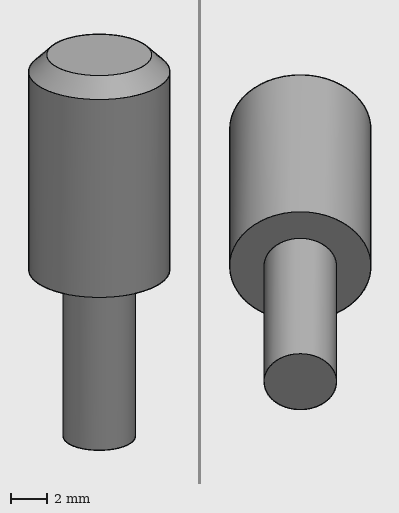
import cadquery as cq

total_length = 22.9
head_diameter = 7.8
shank_diameter = 4.0
shank_length = 10.0
head_chamfer = 1.0

head_length = total_length - shank_length

shank = cq.Workplane("XY").circle(shank_diameter / 2).extrude(shank_length)

head = (
    cq.Workplane("XY")
    .workplane(offset=shank_length)
    .circle(head_diameter / 2)
    .extrude(head_length)
    .faces(">Z")
    .chamfer(head_chamfer)
)

result = shank.union(head)